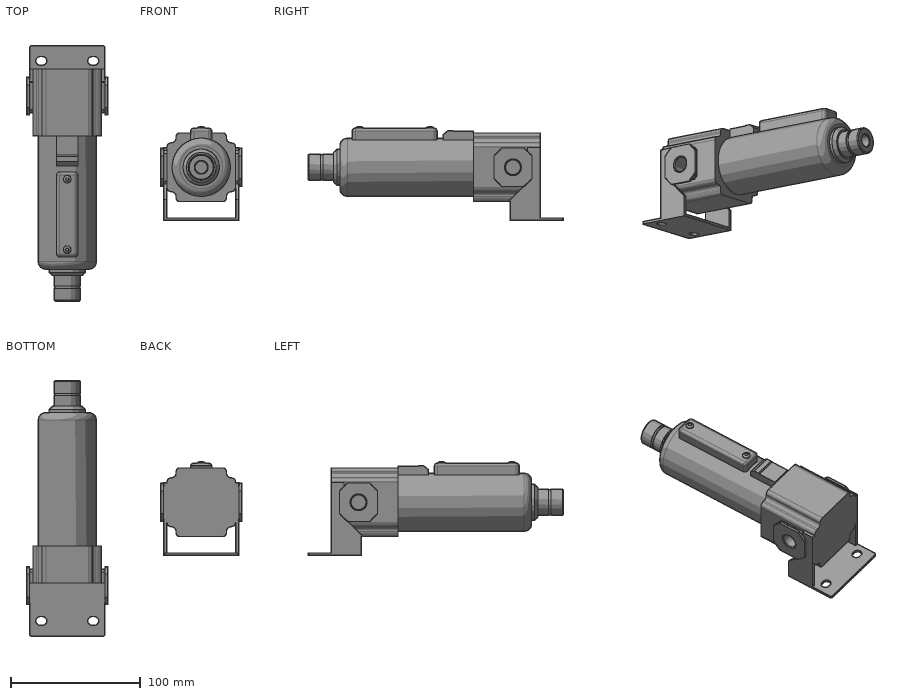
import cadquery as cq
import math


body_width = 53.0
body_length = 51.6
body_front = -body_length
half_body = body_width / 2
top_half_width = 19.5
shoulder_height = 18.3
shoulder_slope = 10
corner_radius = 3.0
shoulder_radius = 3.3

bowl_radius = 22.5
bowl_length = 102.8
bowl_end_radius = 6.0
collar_radius = 14.0
collar_length = 5.0
collar_chamfer = 2.5
stem_radius = 10.0
stem_length = 19.7
stem_chamfer = 0.8
groove_start = 8.0
groove_width = 1.8
groove_depth = 0.4
drain_radius = 4.7
drain_depth = 15.8
drain_chamfer = 0.5

port_y = -21.0
flange_span = 62.5
flange_size = 29.4
flange_chamfer = 6.0
flange_thickness = 2.0
flange_root_radius = 0.8
boss_size = 25.6
boss_chamfer = 2.4
port_radius = 5.7
port_depth = 19.7
port_chamfer = 0.8

bracket_width = 58.0
floor_thickness = 2.0
bracket_bottom = -41.0
bracket_top = 15.2
bracket_depth = 23.2
bracket_arm_depth = 9.8
bracket_slope_start = -25.0
foot_length = 18.0
foot_corner_chamfer = 1.0
slot_length = 8.3
slot_width = 6.5
slot_spacing = 40.0
slot_y = 6.1

latch_width = 16.4
latch_length = 23.2
latch_top = 27.8
ridge_top = 28.2
ridge_start = 14.8
ridge_crest_start = 15.8
ridge_crest_end = 19.7
latch_tip_height = 25.2
cover_start = 27.8
cover_length = 65.6
cover_top = 30.1
cover_corner_radius = 2.5
cover_top_radius = 2.4
buried_height = 17.7
screw_radius = 3.0
screw_tip_radius = 1.2
screw_rim = 0.4
screw_top = 31.5
screw_offset = 5.7


def box_between(x_range, y_range, z_range):
    """Box spanning the given (low, high) ranges."""
    spans = [high - low for low, high in (x_range, y_range, z_range)]
    low_corner = (x_range[0], y_range[0], z_range[0])
    return cq.Workplane("XY").box(*spans, centered=False).translate(low_corner)


def make_body():
    shoulder_rise = (half_body - top_half_width) * math.tan(math.radians(shoulder_slope))
    quarter = [
        (half_body, shoulder_height),
        (top_half_width, shoulder_height + shoulder_rise),
        (top_half_width, half_body),
    ]
    upper_left = [(-x, z) for x, z in reversed(quarter)]
    upper = quarter + upper_left
    lower = [(-x, -z) for x, z in upper]
    body = cq.Workplane("XZ").polyline(upper + lower).close().extrude(body_length)
    outer_corners = "|Y and (>Z or <Z)"
    body = body.edges(f"|Y and (not ({outer_corners}))").fillet(shoulder_radius)
    return body.edges(outer_corners).fillet(corner_radius)


def make_bowl():
    collar_start = bowl_length
    stem_start = collar_start + collar_length
    stem_end = stem_start + stem_length
    groove_near = stem_start + groove_start
    groove_far = groove_near + groove_width
    groove_radius = stem_radius - groove_depth
    bend = bowl_end_radius * (1 - math.sqrt(0.5))
    profile = (
        cq.Workplane("XY")
        .moveTo(0, 0)
        .lineTo(bowl_radius, 0)
        .lineTo(bowl_radius, -(bowl_length - bowl_end_radius))
        .threePointArc(
            (bowl_radius - bend, -(bowl_length - bend)),
            (bowl_radius - bowl_end_radius, -bowl_length),
        )
        .lineTo(collar_radius, -collar_start)
        .lineTo(collar_radius, -(stem_start - collar_chamfer))
        .lineTo(collar_radius - collar_chamfer, -stem_start)
        .lineTo(stem_radius, -stem_start)
        .lineTo(stem_radius, -groove_near)
        .lineTo(groove_radius, -groove_near)
        .lineTo(groove_radius, -groove_far)
        .lineTo(stem_radius, -groove_far)
        .lineTo(stem_radius, -(stem_end - stem_chamfer))
        .lineTo(stem_radius - stem_chamfer, -stem_end)
        .lineTo(drain_radius + drain_chamfer, -stem_end)
        .lineTo(drain_radius, -(stem_end - drain_chamfer))
        .lineTo(drain_radius, -(stem_end - drain_depth))
        .lineTo(0, -(stem_end - drain_depth))
        .close()
    )
    return profile.revolve(360, (0, 0, 0), (0, 1, 0)).translate((0, body_front, 0))


def octagon_prism(size, chamfer, span):
    """Chamfered square centred on the port axis, running across the body along X."""
    prism = cq.Workplane("XY").box(span, size, size).edges("|X").chamfer(chamfer)
    return prism.translate((0, port_y, 0))


def make_port_flanges():
    """Spool across the body: an octagonal flange at each end of a smaller boss."""
    inner_half = flange_span / 2 - flange_thickness
    gap = box_between((-inner_half, inner_half), (body_front, 0), (-half_body, half_body))
    square_block = cq.Workplane("XY").box(flange_span, flange_size, flange_size).translate((0, port_y, 0))
    spool = square_block.cut(gap).union(octagon_prism(boss_size, boss_chamfer, flange_span))
    inner_faces = spool.faces("|X").faces("not (<X or >X)")
    root_edges = [edge for face in inner_faces.vals() for wire in face.innerWires() for edge in wire.Edges()]
    filleted = spool.newObject(root_edges).fillet(flange_root_radius)
    return filleted.intersect(octagon_prism(flange_size, flange_chamfer, flange_span))


def make_port_holes():
    face_x = flange_span / 2
    hole = (
        cq.Workplane("XY")
        .moveTo(face_x, 0)
        .lineTo(face_x, port_radius + port_chamfer)
        .lineTo(face_x - port_chamfer, port_radius)
        .lineTo(face_x - port_depth, port_radius)
        .lineTo(face_x - port_depth, 0)
        .close()
        .revolve(360, (0, 0, 0), (1, 0, 0))
        .translate((0, port_y, 0))
    )
    return hole.union(hole.mirror("YZ"))


def make_bracket():
    outer_half = bracket_width / 2
    slope_end = bracket_slope_start + bracket_depth - bracket_arm_depth
    sides = (
        cq.Workplane("YZ")
        .moveTo(0, bracket_bottom)
        .lineTo(-bracket_depth, bracket_bottom)
        .lineTo(-bracket_depth, bracket_slope_start)
        .lineTo(-bracket_arm_depth, slope_end)
        .lineTo(-bracket_arm_depth, bracket_top)
        .lineTo(0, bracket_top)
        .close()
        .extrude(outer_half, both=True)
    )
    floor_top = bracket_bottom + floor_thickness
    space_between = box_between((-half_body, half_body), (-bracket_depth, 0), (floor_top, bracket_top))
    sides = sides.cut(space_between)
    foot = (
        box_between((-outer_half, outer_half), (-bracket_depth, foot_length), (bracket_bottom, floor_top))
        .edges("|Z and >Y")
        .chamfer(foot_corner_chamfer)
    )
    slots = (
        cq.Workplane("XY", origin=(0, slot_y, bracket_bottom))
        .pushPoints([(-slot_spacing / 2, 0), (slot_spacing / 2, 0)])
        .slot2D(slot_length, slot_width)
        .extrude(floor_thickness)
    )
    return sides.union(foot).cut(slots)


def make_latch():
    return (
        cq.Workplane("YZ", origin=(0, body_front, 0))
        .moveTo(0, buried_height)
        .lineTo(0, latch_top)
        .lineTo(-ridge_start, latch_top)
        .lineTo(-ridge_crest_start, ridge_top)
        .lineTo(-ridge_crest_end, ridge_top)
        .lineTo(-latch_length, latch_tip_height)
        .lineTo(-latch_length, buried_height)
        .close()
        .extrude(latch_width / 2, both=True)
    )


def make_cover():
    near_y = body_front - cover_start
    far_y = near_y - cover_length
    cover = box_between((-latch_width / 2, latch_width / 2), (far_y, near_y), (buried_height, cover_top))
    cover = cover.edges("|Z").fillet(cover_corner_radius)
    cover = cover.faces(">Z").edges().fillet(cover_top_radius)
    for screw_y in (near_y - screw_offset, far_y + screw_offset):
        screw = (
            cq.Workplane("XZ")
            .moveTo(0, cover_top)
            .lineTo(screw_radius, cover_top)
            .lineTo(screw_radius, cover_top + screw_rim)
            .lineTo(screw_tip_radius, screw_top)
            .lineTo(0, screw_top)
            .close()
            .revolve(360, (0, 0, 0), (0, 1, 0))
        )
        cover = cover.union(screw.translate((0, screw_y, 0)))
    return cover


result = (
    make_body()
    .union(make_bowl())
    .union(make_bracket())
    .union(make_port_flanges())
    .union(make_latch())
    .union(make_cover())
    .cut(make_port_holes())
)